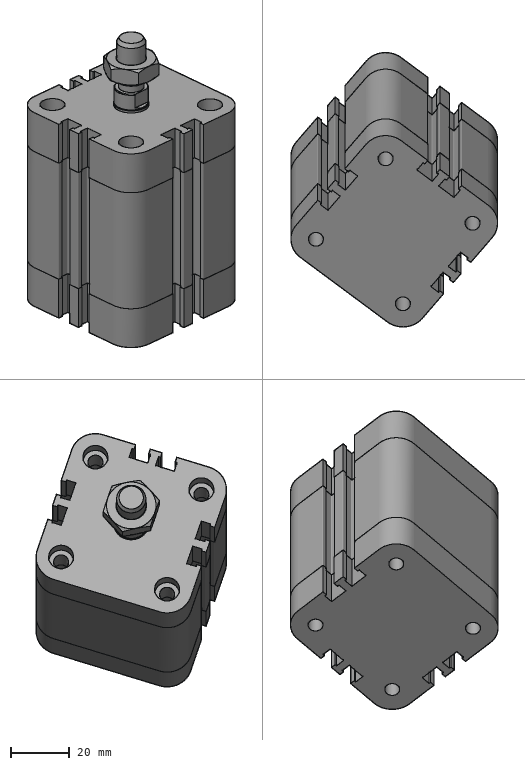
import cadquery as cq
import math


body_width = 55.0
corner_radius = 8.5
cap_height = 15.0
tube_height = 44.9
tube_bottom = cap_height
tube_top = tube_bottom + tube_height
body_top = tube_top + cap_height

hole_spacing = 38.0
hole_diameter = 5
counterbore_diameter = 8.5
counterbore_depth = 5

slot_offset = 4.7
slot_mouth_width = 5.3
slot_width = 6.7
slot_lip = 1.7
slot_depth = 5
mouth_rounding = 0.25
inner_rounding = 0.3
slot_sides = (0, 90, -90)

overall_height = 101
shaft_diameter = 12.0
wrench_diameter = 11.8
wrench_bottom = 76.2
shoulder_height = 0.3
wrench_top = 82.1
wrench_chamfer = 0.3
flat_bottom = 76.9
flat_spacing = 10.0
flat_runout_angle = 30
neck_diameter = 8.8
thread_bottom = 84.5
thread_step_height = 0.3
thread_diameter = 10.0
tip_diameter = 8.3
thread_lead_in = 1.5

nut_bottom = 87.2
nut_height = 6.0
nut_flats = 17.0
nut_face_diameter = 16.9
nut_turn = 30
nut_chamfer_angle = 30
nut_bore_chamfer = 0.2


def slot_cutter(height, rounded):
    """T-slot cutter for the -Y side, centred on X = 0, with sharp or rounded corners."""
    half_mouth = slot_mouth_width / 2
    half_width = slot_width / 2
    outline = cq.Workplane("XY").moveTo(0, 0)
    if rounded:
        outline = (
            outline.lineTo(half_mouth + mouth_rounding, 0)
            .radiusArc((half_mouth, mouth_rounding), mouth_rounding)
        )
    else:
        outline = outline.lineTo(half_mouth, 0)
    cutter = (
        outline.lineTo(half_mouth, slot_lip)
        .lineTo(half_width, slot_lip)
        .lineTo(half_width, slot_depth)
        .lineTo(0, slot_depth)
        .mirrorY()
        .extrude(height)
    )
    if rounded:
        inner_corners = cq.selectors.BoxSelector(
            (-slot_width, slot_lip / 2, 0),
            (slot_width, 2 * slot_depth, height),
        )
        cutter = cutter.edges("|Z").edges(inner_corners).fillet(inner_rounding)
    return cutter.translate((0, -body_width / 2, 0))


def body_section(bottom, height, rounded_slots=False):
    """Rounded square block with the sensor slots and the through screw holes."""
    block = (
        cq.Workplane("XY")
        .rect(body_width, body_width)
        .extrude(height)
        .edges("|Z")
        .fillet(corner_radius)
        .faces(">Z")
        .workplane()
        .rect(hole_spacing, hole_spacing, forConstruction=True)
        .vertices()
        .hole(hole_diameter)
    )
    cutter = slot_cutter(height, rounded_slots)
    for side in slot_sides:
        for offset in (-slot_offset, slot_offset):
            slot = cutter.translate((offset, 0, 0)).rotate((0, 0, 0), (0, 0, 1), side)
            block = block.cut(slot)
    return block.translate((0, 0, bottom))


def make_bottom_cap():
    return body_section(0, cap_height)


def make_tube():
    return body_section(tube_bottom, tube_height, rounded_slots=True)


def make_top_cap():
    """End cap with counterbored screw holes and the guide hole for the rod."""
    return (
        body_section(tube_top, cap_height)
        .faces(">Z")
        .workplane(origin=(0, 0, body_top))
        .hole(shaft_diameter)
        .faces(">Z")
        .workplane(origin=(0, 0, body_top))
        .rect(hole_spacing, hole_spacing, forConstruction=True)
        .vertices()
        .circle(counterbore_diameter / 2)
        .cutBlind(-counterbore_depth)
    )


def make_rod():
    """Turned rod: shaft, wrench section with two flats, neck and thread."""
    shaft_radius = shaft_diameter / 2
    wrench_radius = wrench_diameter / 2
    neck_radius = neck_diameter / 2
    thread_radius = thread_diameter / 2
    profile = [
        (0, tube_top),
        (shaft_radius, tube_top),
        (shaft_radius, wrench_bottom - shoulder_height),
        (wrench_radius, wrench_bottom),
        (wrench_radius, wrench_top - wrench_chamfer),
        (wrench_radius - wrench_chamfer, wrench_top),
        (neck_radius, wrench_top),
        (neck_radius, thread_bottom),
        (thread_radius, thread_bottom + thread_step_height),
        (thread_radius, overall_height - thread_lead_in),
        (tip_diameter / 2, overall_height),
        (0, overall_height),
    ]
    rod = cq.Workplane("XZ").polyline(profile).close().revolve(360, (0, 0, 0), (0, 1, 0))
    flat_distance = flat_spacing / 2
    clear_distance = wrench_diameter
    runout_drop = (clear_distance - flat_distance) * math.tan(math.radians(flat_runout_angle))
    waste = (
        cq.Workplane("XZ")
        .polyline([
            (flat_distance, flat_bottom),
            (clear_distance, flat_bottom - runout_drop),
            (clear_distance, wrench_top),
            (flat_distance, wrench_top),
        ])
        .close()
        .extrude(wrench_diameter / 2, both=True)
    )
    return rod.cut(waste).cut(waste.mirror("YZ"))


def make_nut():
    """Hexagon nut with its corners chamfered conically at both ends."""
    tip_to_tip = nut_flats / math.cos(math.pi / 6)
    tip_radius = tip_to_tip / 2
    face_radius = nut_face_diameter / 2
    chamfer_height = (tip_radius - face_radius) * math.tan(math.radians(nut_chamfer_angle))
    envelope = (
        cq.Workplane("XZ")
        .polyline([
            (0, 0),
            (face_radius, 0),
            (tip_radius, chamfer_height),
            (tip_radius, nut_height - chamfer_height),
            (face_radius, nut_height),
            (0, nut_height),
        ])
        .close()
        .revolve(360, (0, 0, 0), (0, 1, 0))
    )
    return (
        cq.Workplane("XY")
        .polygon(6, tip_to_tip)
        .extrude(nut_height)
        .rotate((0, 0, 0), (0, 0, 1), nut_turn)
        .intersect(envelope)
        .faces(">Z")
        .workplane(origin=(0, 0, nut_height))
        .hole(thread_diameter)
        .edges(cq.selectors.RadiusNthSelector(0))
        .chamfer(nut_bore_chamfer)
        .translate((0, 0, nut_bottom))
    )


bottom_cap = make_bottom_cap()
tube = make_tube()
top_cap = make_top_cap()
rod = make_rod()
nut = make_nut()

result = cq.Compound.makeCompound([
    bottom_cap.val(),
    tube.val(),
    top_cap.val(),
    rod.val(),
    nut.val(),
])